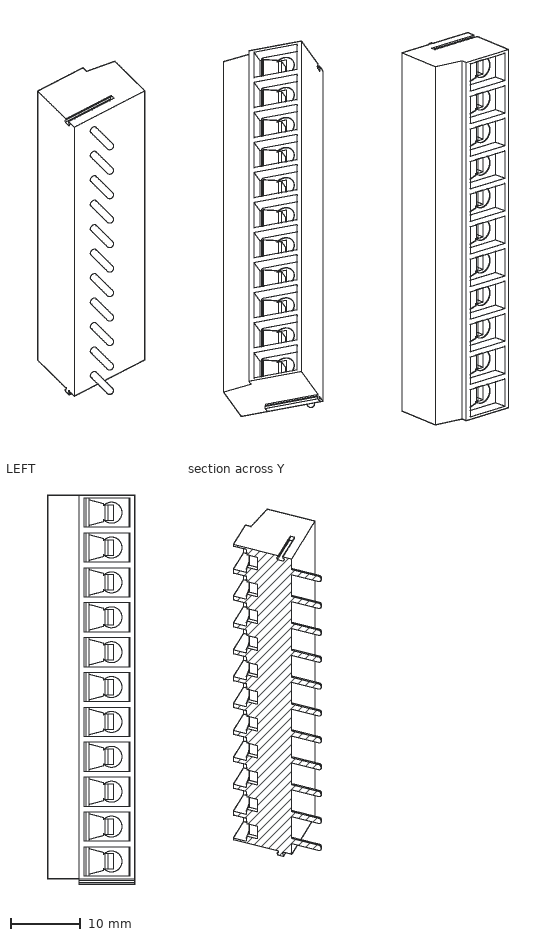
import cadquery as cq

POLES = 11
HEIGHT = 54.9
PITCH = HEIGHT / POLES
BODY_DEPTH = 8.95
BODY_WIDTH = 12.5
SCREW_FACE_WIDTH = 8.0
STEP_DEPTH = 0.9
BACK_SETBACK = 1.6

PIN_RADIUS = 0.53
PIN_LENGTH = 4.5
PIN_TIP_FILLET = 0.4
POLE_Y = 3.35

RAIL_X = 7.25
RAIL_HEIGHT = 0.8
RAIL_SHOULDER = 0.2
RAIL_WIDEST = 0.5
NECK_WIDTH = 0.65
HEAD_WIDTH = 1.1
TIP_WIDTH = 0.9

POCKET_NEAR_Y = 0.65
POCKET_FAR_Y = 7.25
POCKET_HEIGHT = 4.2
FLOOR_DEPTH = 1.95
NEAR_WALL_TAPER = 0.15
GROOVE_DEPTH = 2.5
GROOVE_WIDTH = 0.3
GROOVE_ROUNDING = 0.4
GROOVE_ROUND_RADIUS = 0.65

SCREW_RADIUS = 1.5
GUIDE_WIDE = 3.7
GUIDE_NARROW = 2.55
GUIDE_NARROW_Y = 4.45
RECESS_DEPTH = 0.1

SLOT_LENGTH = 2.2
SLOT_NEAR_Y = 3.05
SLOT_FAR_Y = 4.3
SLOT_DEPTH = 1.95
SLOT_FLOOR_RISE = 0.35
SLOT_BEVEL_WIDTH = 0.45
SLOT_BEVEL_DEPTH = 0.2


def make_housing():
    outline = [
        (0, 0),
        (BODY_DEPTH, 0),
        (BODY_DEPTH, BODY_WIDTH),
        (BACK_SETBACK, BODY_WIDTH),
        (STEP_DEPTH, SCREW_FACE_WIDTH),
        (0, SCREW_FACE_WIDTH),
    ]
    return cq.Workplane("XY").polyline(outline).close().extrude(HEIGHT)


def make_rail(base_z):
    """Rail of mushroom section hanging below base_z, running along Y."""
    half_section = [
        (NECK_WIDTH / 2, 0),
        (NECK_WIDTH / 2, -RAIL_SHOULDER),
        (HEAD_WIDTH / 2, -RAIL_WIDEST),
        (TIP_WIDTH / 2, -RAIL_HEIGHT),
    ]
    mirrored_half = [(-x, z) for x, z in reversed(half_section)]
    return (
        cq.Workplane("XZ", origin=(RAIL_X, 0, base_z))
        .polyline(half_section + mirrored_half)
        .close()
        .extrude(-SCREW_FACE_WIDTH)
    )


def make_pin(z):
    return (
        cq.Workplane("YZ", origin=(BODY_DEPTH, POLE_Y, z))
        .circle(PIN_RADIUS)
        .extrude(PIN_LENGTH)
        .faces(">X")
        .edges()
        .fillet(PIN_TIP_FILLET)
    )


def make_pocket_well(z):
    """Open well with a tapered near wall and a round-edged groove at its far wall."""
    groove_y = POCKET_FAR_Y - GROOVE_WIDTH
    groove_corner = (GROOVE_DEPTH, groove_y)
    floor_edge = (FLOOR_DEPTH, groove_y - GROOVE_ROUNDING)
    return (
        cq.Workplane("XY", origin=(0, 0, z - POCKET_HEIGHT / 2))
        .moveTo(0, POCKET_NEAR_Y)
        .lineTo(FLOOR_DEPTH, POCKET_NEAR_Y + NEAR_WALL_TAPER)
        .lineTo(*floor_edge)
        .radiusArc(groove_corner, GROOVE_ROUND_RADIUS)
        .lineTo(GROOVE_DEPTH, POCKET_FAR_Y)
        .lineTo(0, POCKET_FAR_Y)
        .close()
        .extrude(POCKET_HEIGHT)
    )


def make_screw_recess(z):
    """Shallow round recess joined to a guide that widens toward the groove."""
    guide_wide_y = POCKET_FAR_Y - GROOVE_WIDTH - GROOVE_ROUNDING
    guide_outline = [
        (guide_wide_y, GUIDE_WIDE / 2),
        (GUIDE_NARROW_Y, GUIDE_NARROW / 2),
        (GUIDE_NARROW_Y, -GUIDE_NARROW / 2),
        (guide_wide_y, -GUIDE_WIDE / 2),
    ]
    floor = cq.Workplane("YZ", origin=(FLOOR_DEPTH, 0, z))
    guide = floor.polyline(guide_outline).close().extrude(RECESS_DEPTH)
    screw = floor.center(POLE_Y, 0).circle(SCREW_RADIUS).extrude(RECESS_DEPTH)
    return guide.union(screw)


def make_driver_slot(z):
    """Slot with a bevelled far edge and a sloping floor."""
    top_x = FLOOR_DEPTH
    bevel_x = top_x + RECESS_DEPTH + SLOT_BEVEL_DEPTH
    bottom_x = top_x + SLOT_DEPTH
    wall_y = SLOT_FAR_Y - SLOT_BEVEL_WIDTH
    section = [
        (top_x, SLOT_NEAR_Y),
        (bottom_x - SLOT_FLOOR_RISE, SLOT_NEAR_Y),
        (bottom_x, wall_y),
        (bevel_x, wall_y),
        (top_x + RECESS_DEPTH, SLOT_FAR_Y),
        (top_x, SLOT_FAR_Y),
    ]
    return (
        cq.Workplane("XY", origin=(0, 0, z - SLOT_LENGTH / 2))
        .polyline(section)
        .close()
        .extrude(SLOT_LENGTH)
    )


def make_pocket(z):
    return make_pocket_well(z).union(make_screw_recess(z)).union(make_driver_slot(z))


result = make_housing().union(make_rail(0)).cut(make_rail(HEIGHT))
for pole in range(POLES):
    pole_z = (pole + 0.5) * PITCH
    result = result.union(make_pin(pole_z)).cut(make_pocket(pole_z))